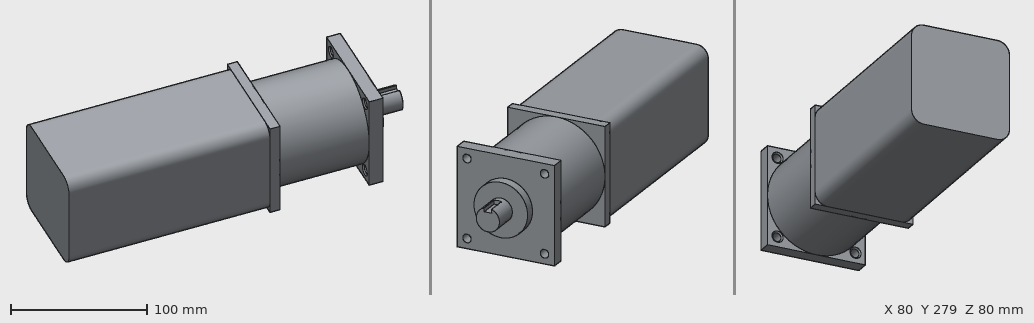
import cadquery as cq

SIDE = 80.0

MOTOR_LENGTH = 160.0
ADAPTER_THICKNESS = 8.0
HOUSING_LENGTH = 71.0
FLANGE_THICKNESS = 11.0
PILOT_LENGTH = 8.0
SHAFT_LENGTH = 21.0

MOTOR_CORNER_RADIUS = 10.0

HOUSING_DIAMETER = SIDE
PILOT_DIAMETER = 44.0
SHAFT_DIAMETER = 19.0

KEYWAY_WIDTH = 6.0
KEYWAY_LENGTH = 16.0
KEYWAY_DEPTH = 3.5

BOLT_CIRCLE_DIAMETER = 90.0
BOLT_HOLE_DIAMETER = 6.8
BOLT_HOLE_COUNT = 4
FIRST_BOLT_ANGLE = 45.0
BOLT_HOLE_CHAMFER = 1.1

FLANGE_BACK = -FLANGE_THICKNESS
HOUSING_BACK = FLANGE_BACK - HOUSING_LENGTH
ADAPTER_BACK = HOUSING_BACK - ADAPTER_THICKNESS
MOTOR_BACK = ADAPTER_BACK - MOTOR_LENGTH
SHAFT_TIP = PILOT_LENGTH + SHAFT_LENGTH


def plane_at(y):
    """Workplane across the long axis at the given Y, with its normal along +Y."""
    return cq.Workplane(cq.Plane(origin=(0, y, 0), xDir=(1, 0, 0), normal=(0, 1, 0)))


def square_block(y, length):
    return plane_at(y).rect(SIDE, SIDE).extrude(length)


def cylinder(y, diameter, length):
    return plane_at(y).circle(diameter / 2).extrude(length)


def make_motor():
    return square_block(MOTOR_BACK, MOTOR_LENGTH).edges("|Y").fillet(MOTOR_CORNER_RADIUS)


def make_flange():
    """Square flange with a hole in each corner, chamfered where it opens on the back face."""
    return (
        square_block(FLANGE_BACK, FLANGE_THICKNESS)
        .faces(">Y")
        .workplane()
        .polarArray(BOLT_CIRCLE_DIAMETER / 2, FIRST_BOLT_ANGLE, 360, BOLT_HOLE_COUNT)
        .hole(BOLT_HOLE_DIAMETER)
        .faces("<Y")
        .edges("%CIRCLE")
        .chamfer(BOLT_HOLE_CHAMFER)
    )


def keyway():
    """Cutter for the straight keyway along the top of the shaft."""
    shaft_top = SHAFT_DIAMETER / 2
    return (
        cq.Workplane("XY")
        .box(KEYWAY_WIDTH, KEYWAY_LENGTH, KEYWAY_DEPTH, centered=(True, False, False))
        .translate((0, SHAFT_TIP - KEYWAY_LENGTH, shaft_top - KEYWAY_DEPTH))
    )


def make_gearbox():
    adapter = square_block(ADAPTER_BACK, ADAPTER_THICKNESS)
    housing = cylinder(HOUSING_BACK, HOUSING_DIAMETER, HOUSING_LENGTH)
    flange = make_flange()
    pilot = cylinder(0, PILOT_DIAMETER, PILOT_LENGTH)
    shaft = cylinder(PILOT_LENGTH, SHAFT_DIAMETER, SHAFT_LENGTH).cut(keyway())
    return adapter.union(housing).union(flange).union(pilot).union(shaft)


motor = make_motor()
gearbox = make_gearbox()

result = cq.Compound.makeCompound([motor.val(), gearbox.val()])